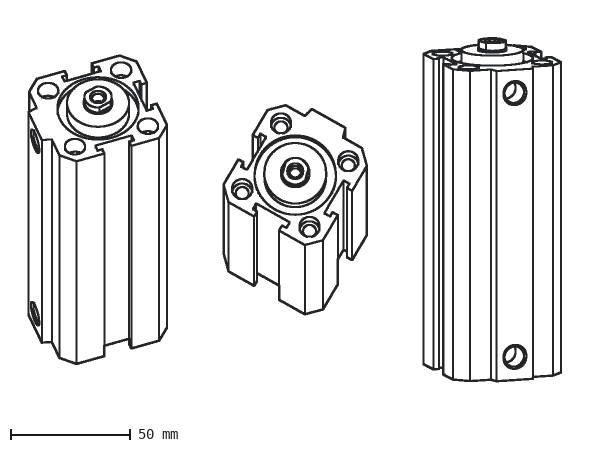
import cadquery as cq
import math

TOTAL_HEIGHT = 139.5
BODY_WIDTH = 48.0
BODY_HALF = BODY_WIDTH / 2
CORNER_CHAMFER = 5.6
COLLAR_RISE = 3.5
ROD_RISE = 3.9
BODY_HEIGHT = TOTAL_HEIGHT - COLLAR_RISE - ROD_RISE

RAIL_RISE = 4.0
RAIL_ROOT_WIDTH = 18.4
RAIL_TIP_WIDTH = 16.2
RAIL_FACE_Y = -BODY_HALF - RAIL_RISE

SLOT_MOUTH_WIDTH = 12.0
SLOT_INNER_WIDTH = 16.2
SLOT_LIP = 2.5
SLOT_DEPTH = 5.3
SLOT_DIRECTIONS = (0, 90, 180)

MOUNT_SPACING = 32.5
MOUNT_DIAMETER = 5.5
MOUNT_BORE_DIAMETER = 8.5
MOUNT_BORE_DEPTH = 8.4

RECESS_DIAMETER = 34.0
RECESS_DEPTH = 3.5
COLLAR_DIAMETER = 26.0

PORT_DIAMETER = 8.6
PORT_MOUTH_DIAMETER = 10.2
PORT_MOUTH_DEPTH = (PORT_MOUTH_DIAMETER - PORT_DIAMETER) / 2
PORT_DEPTH = 11.2
PORT_END_DISTANCE = 9.9

ROD_DIAMETER = 12.0
ROD_TIP_DIAMETER = 11.5
ROD_BASE_Z = BODY_HEIGHT - RECESS_DEPTH
ROD_LENGTH = TOTAL_HEIGHT - ROD_BASE_Z
FLATS_WIDTH = 10.0
FLATS_ANGLE = 15.0
TIP_HEIGHT = 3.2
TAP_DIAMETER = 5.0
TAP_MOUTH_DIAMETER = 6.7
TAP_MOUTH_DEPTH = (TAP_MOUTH_DIAMETER - TAP_DIAMETER) / 2
TAP_DEPTH = 5.6
DRILL_POINT_ANGLE = 118.0


def cylinder(diameter, bottom_z, height):
    return cq.Workplane("XY").workplane(offset=bottom_z).circle(diameter / 2).extrude(height)


def make_profile():
    block = (
        cq.Workplane("XY")
        .rect(BODY_WIDTH, BODY_WIDTH)
        .extrude(BODY_HEIGHT)
        .edges("|Z")
        .chamfer(CORNER_CHAMFER)
    )
    rail = (
        cq.Workplane("XY")
        .moveTo(-RAIL_ROOT_WIDTH / 2, -BODY_HALF)
        .lineTo(-RAIL_TIP_WIDTH / 2, RAIL_FACE_Y)
        .lineTo(RAIL_TIP_WIDTH / 2, RAIL_FACE_Y)
        .lineTo(RAIL_ROOT_WIDTH / 2, -BODY_HALF)
        .lineTo(0, 0)
        .close()
        .extrude(BODY_HEIGHT)
    )
    return block.union(rail)


def make_t_slot(angle):
    """T-slot cutter for the +X face, turned about Z by the angle."""
    mouth = (
        cq.Workplane("XY")
        .center(BODY_HALF - SLOT_DEPTH / 2, 0)
        .rect(SLOT_DEPTH, SLOT_MOUTH_WIDTH)
        .extrude(BODY_HEIGHT)
    )
    inner_depth = SLOT_DEPTH - SLOT_LIP
    inner = (
        cq.Workplane("XY")
        .center(BODY_HALF - SLOT_LIP - inner_depth / 2, 0)
        .rect(inner_depth, SLOT_INNER_WIDTH)
        .extrude(BODY_HEIGHT)
    )
    return mouth.union(inner).rotate((0, 0, 0), (0, 0, 1), angle)


def make_port(z):
    """Port cutter running inwards from the rail face, with a countersunk mouth."""
    return (
        cq.Workplane("XY")
        .lineTo(PORT_MOUTH_DIAMETER / 2, 0)
        .lineTo(PORT_DIAMETER / 2, PORT_MOUTH_DEPTH)
        .lineTo(PORT_DIAMETER / 2, PORT_DEPTH)
        .lineTo(0, PORT_DEPTH)
        .close()
        .revolve(360, (0, 0, 0), (0, 1, 0))
        .translate((0, RAIL_FACE_Y, z))
    )


def make_housing():
    body = make_profile()
    for angle in SLOT_DIRECTIONS:
        body = body.cut(make_t_slot(angle))
    body = (
        body.faces(">Z")
        .workplane(origin=(0, 0, BODY_HEIGHT))
        .rect(MOUNT_SPACING, MOUNT_SPACING, forConstruction=True)
        .vertices()
        .cboreHole(MOUNT_DIAMETER, MOUNT_BORE_DIAMETER, MOUNT_BORE_DEPTH)
    )
    for z in (PORT_END_DISTANCE, BODY_HEIGHT - PORT_END_DISTANCE):
        body = body.cut(make_port(z))
    recess = cylinder(RECESS_DIAMETER, ROD_BASE_Z, RECESS_DEPTH)
    collar = cylinder(COLLAR_DIAMETER, ROD_BASE_Z, RECESS_DEPTH + COLLAR_RISE)
    rod_seat = cylinder(ROD_DIAMETER, ROD_BASE_Z, ROD_LENGTH)
    return body.cut(recess).union(collar).cut(rod_seat)


def make_tapped_hole():
    """Cutter for the rod's end hole: countersunk mouth and conical drill point."""
    tap_radius = TAP_DIAMETER / 2
    tap_floor = -TAP_DEPTH
    point_depth = tap_radius / math.tan(math.radians(DRILL_POINT_ANGLE / 2))
    return (
        cq.Workplane("XZ")
        .lineTo(TAP_MOUTH_DIAMETER / 2, 0)
        .lineTo(tap_radius, -TAP_MOUTH_DEPTH)
        .lineTo(tap_radius, tap_floor)
        .lineTo(0, tap_floor - point_depth)
        .close()
        .revolve(360, (0, 0, 0), (0, 1, 0))
        .translate((0, 0, TOTAL_HEIGHT))
    )


def make_rod():
    """Rod with a slightly thinner tip that carries two wrench flats."""
    tip_base_z = TOTAL_HEIGHT - TIP_HEIGHT
    shaft = cylinder(ROD_DIAMETER, ROD_BASE_Z, ROD_LENGTH - TIP_HEIGHT)
    flats = (
        cq.Workplane("XY")
        .workplane(offset=tip_base_z)
        .rect(FLATS_WIDTH, ROD_DIAMETER)
        .extrude(TIP_HEIGHT)
        .rotate((0, 0, 0), (0, 0, 1), FLATS_ANGLE)
    )
    tip = cylinder(ROD_TIP_DIAMETER, tip_base_z, TIP_HEIGHT).intersect(flats)
    return shaft.union(tip).cut(make_tapped_hole())


housing = make_housing()
rod = make_rod()

result = cq.Compound.makeCompound([housing.val(), rod.val()])